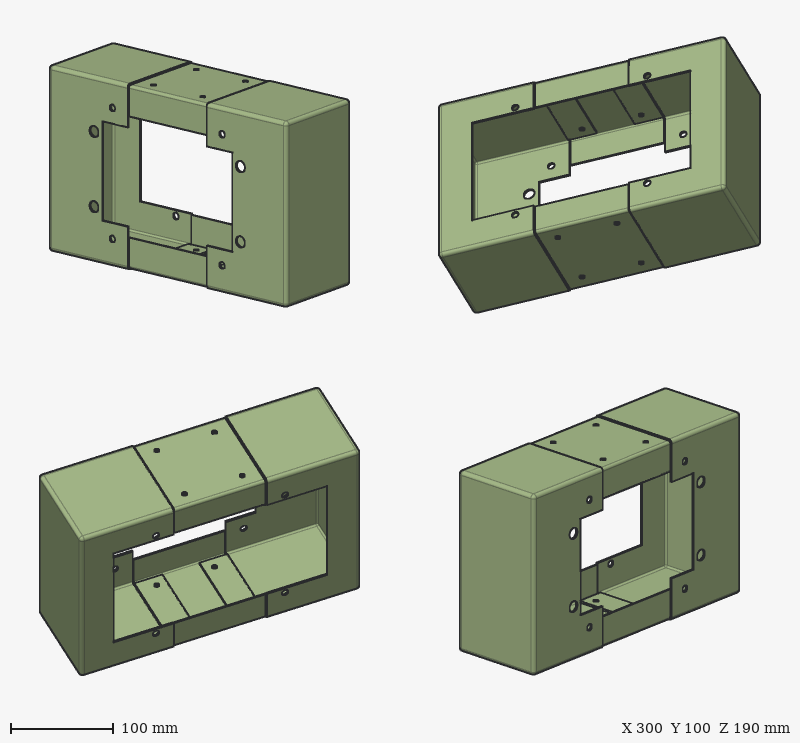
import cadquery as cq

LENGTH = 300.0
DEPTH = 100.0
HEIGHT = 190.0

CAP_WALL = 2.0
BEND_INSIDE = 2.0
CAP_END_X = 49.8
FRONT_NOTCH_X = 82.0
FRONT_NOTCH_Z = 50.7
REAR_NOTCH_X = 114.3
REAR_NOTCH_Z = 61.0
SMALL_HOLE_DIA = 7.0
SMALL_HOLE_X = 69.0
SMALL_HOLE_Z = 67.0
BIG_HOLE_DIA = 11.5
BIG_HOLE_X = 92.0
BIG_HOLE_Z = 38.5

CHANNEL_INSET = 1.0
CHANNEL_WALL = 1.5
CAP_GAP = 1.0
CHANNEL_LIP_Z = 61.8

PLATE_WIDTH = 30.0
PLATE_DEPTH = 88.2
PLATE_THICKNESS = 2.0
SCREW_HOLE_DIA = 5.0
SCREW_X = 31.0
SCREW_Y = 33.0

CHANNEL_END_X = CAP_END_X - CAP_GAP
CAP_BEND_OUTSIDE = CAP_WALL + BEND_INSIDE
CHANNEL_BEND_OUTSIDE = CAP_BEND_OUTSIDE - CHANNEL_INSET
CHANNEL_BEND_INSIDE = CHANNEL_BEND_OUTSIDE - CHANNEL_WALL
CHANNEL_DEPTH = DEPTH - 2 * CHANNEL_INSET
CHANNEL_TOP_Z = HEIGHT / 2 - CHANNEL_INSET
WEB_INNER_Z = CHANNEL_TOP_Z - CHANNEL_WALL


def block(x_min, x_max, y_min, y_max, z_min, z_max):
    """Box given by its limits along each axis."""
    size = (x_max - x_min, y_max - y_min, z_max - z_min)
    return cq.Workplane("XY").box(*size, centered=False).translate((x_min, y_min, z_min))


def mirrored_block(x_min, x_max, half_depth, half_height):
    """Box symmetric about the XZ and XY planes."""
    return block(x_min, x_max, -half_depth, half_depth, -half_height, half_height)


def y_holes(diameter, x, z):
    """Cylinders along Y through the front and rear walls, above and below centre."""
    return (
        cq.Workplane("XZ")
        .pushPoints([(x, z), (x, -z)])
        .circle(diameter / 2)
        .extrude(DEPTH, both=True)
    )


def screw_holes(x):
    """Cylinders along Z, one pair at the given X, through both channels."""
    return (
        cq.Workplane("XY")
        .pushPoints([(x, SCREW_Y), (x, -SCREW_Y)])
        .circle(SCREW_HOLE_DIA / 2)
        .extrude(HEIGHT, both=True)
    )


def make_cap():
    """Five-sided sheet box on the +X side, open toward the centre."""
    half_depth = DEPTH / 2
    outside = (
        mirrored_block(CAP_END_X, LENGTH / 2, half_depth, HEIGHT / 2)
        .edges("not <X")
        .fillet(CAP_BEND_OUTSIDE)
    )
    inside = (
        mirrored_block(CAP_END_X, LENGTH / 2 - CAP_WALL, half_depth - CAP_WALL, HEIGHT / 2 - CAP_WALL)
        .edges("not <X")
        .fillet(BEND_INSIDE)
    )
    front_notch = block(CAP_END_X, FRONT_NOTCH_X, -half_depth, 0, -FRONT_NOTCH_Z, FRONT_NOTCH_Z)
    rear_notch = block(CAP_END_X, REAR_NOTCH_X, 0, half_depth, -REAR_NOTCH_Z, REAR_NOTCH_Z)
    return (
        outside.cut(inside)
        .cut(front_notch)
        .cut(rear_notch)
        .cut(y_holes(SMALL_HOLE_DIA, SMALL_HOLE_X, SMALL_HOLE_Z))
        .cut(y_holes(BIG_HOLE_DIA, BIG_HOLE_X, BIG_HOLE_Z))
    )


def make_channel():
    """Upper U-shaped sheet channel with its lips pointing down, short of both caps."""
    half_depth = CHANNEL_DEPTH / 2
    inner_half_depth = half_depth - CHANNEL_WALL
    outside = (
        block(-CHANNEL_END_X, CHANNEL_END_X, -half_depth, half_depth, CHANNEL_LIP_Z, CHANNEL_TOP_Z)
        .edges("|X and >Z")
        .fillet(CHANNEL_BEND_OUTSIDE)
    )
    inside = (
        block(-CHANNEL_END_X, CHANNEL_END_X, -inner_half_depth, inner_half_depth, CHANNEL_LIP_Z, WEB_INNER_Z)
        .edges("|X and >Z")
        .fillet(CHANNEL_BEND_INSIDE)
    )
    return outside.cut(inside).cut(screw_holes(SCREW_X)).cut(screw_holes(-SCREW_X))


def make_joint_plate():
    """Flat plate under the upper channel web, on the +X side."""
    half_depth = PLATE_DEPTH / 2
    inner_x = CAP_END_X - PLATE_WIDTH
    bottom_z = WEB_INNER_Z - PLATE_THICKNESS
    plate = block(inner_x, CAP_END_X, -half_depth, half_depth, bottom_z, WEB_INNER_Z)
    return plate.cut(screw_holes(SCREW_X))


right_cap = make_cap()
caps = [right_cap, right_cap.mirror("YZ")]

upper_channel = make_channel()
channels = [upper_channel, upper_channel.mirror("XY")]

upper_right_plate = make_joint_plate()
joint_plates = []
for upper_plate in (upper_right_plate, upper_right_plate.mirror("YZ")):
    joint_plates.append(upper_plate)
    joint_plates.append(upper_plate.mirror("XY"))

result = cq.Compound.makeCompound([body.val() for body in caps + channels + joint_plates])